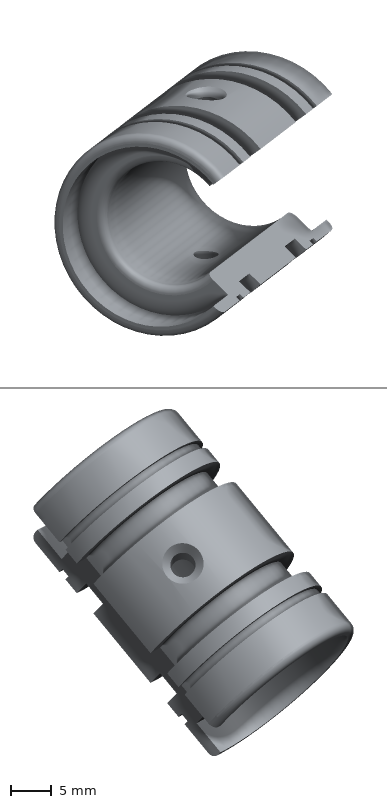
import cadquery as cq
import math

length = 35.78
outer_radius = 13.0
bore_radius = 7.98
edge_round = 1.0

counterbore_radius = 11.55
counterbore_depth = 4.7

wide_groove = (5.58, 8.85, 11.05)
narrow_groove = (11.05, 12.25, 12.38)

opening_half_angle = 39.0
overall_width = 22.58

hole_radius = 1.55
hole_chamfer = 1.0

half_length = length / 2


def cylinder(radius, start, end):
    """Solid cylinder on the Y axis between two Y positions."""
    return cq.Workplane("XZ", origin=(0, start, 0)).circle(radius).extrude(start - end)


def groove(inner_wall, outer_wall, floor_radius):
    """Ring that cuts a groove into the outer surface on the +Y half."""
    ring = cylinder(2 * outer_radius, inner_wall, outer_wall)
    return ring.cut(cylinder(floor_radius, inner_wall, outer_wall))


def make_sleeve():
    """Full round sleeve with rounded ends, counterbores and rounded bore mouths."""
    body = cylinder(outer_radius, -half_length, half_length)
    body = body.faces("<Y or >Y").edges().fillet(edge_round)

    floor = half_length - counterbore_depth
    bore = cylinder(bore_radius, -half_length, half_length)
    core = cylinder(outer_radius, -floor, floor).cut(bore)
    core = core.edges(cq.selectors.RadiusNthSelector(0)).fillet(edge_round)

    body = body.cut(cylinder(counterbore_radius, -half_length, half_length))
    return body.union(core)


def chamfer_top_hole(body):
    """Chamfer the outer mouth of the hole in the top wall."""
    reach = 2 * hole_radius
    mouth = cq.selectors.BoxSelector((-reach, -reach, bore_radius + edge_round),
                                     (reach, reach, 2 * outer_radius), boundingbox=True)
    return body.edges(mouth).chamfer(hole_chamfer)


def make_opening():
    """Prism whose two sloping sides form the lengthwise opening."""
    corner_x = overall_width - outer_radius
    corner_z = math.sqrt(outer_radius**2 - corner_x**2)
    slope = math.tan(math.radians(opening_half_angle))
    apex_x = corner_x - corner_z / slope
    far_x = 2 * outer_radius
    far_z = (far_x - apex_x) * slope
    outline = [(apex_x, 0), (far_x, far_z), (far_x, -far_z)]
    return cq.Workplane("XZ").polyline(outline).close().extrude(half_length, both=True)


sleeve = make_sleeve()

hole = cq.Workplane("XY").circle(hole_radius).extrude(outer_radius, both=True)
sleeve = chamfer_top_hole(sleeve.cut(hole))

for dimensions in (wide_groove, narrow_groove):
    ring = groove(*dimensions)
    sleeve = sleeve.cut(ring).cut(ring.mirror("XZ"))

result = sleeve.cut(make_opening())